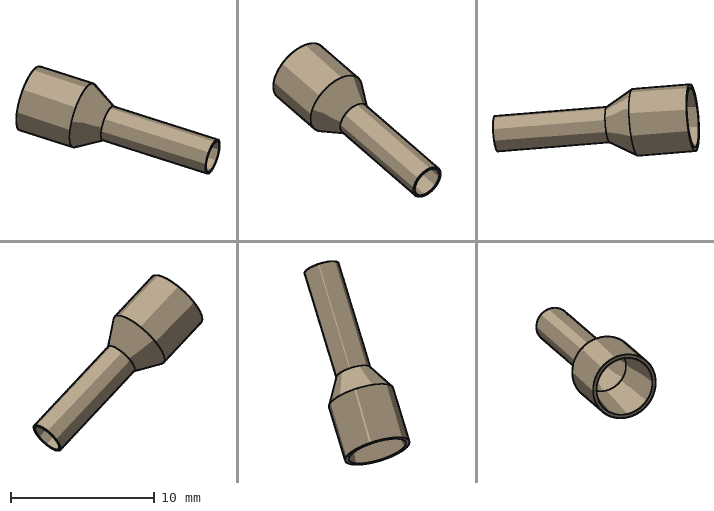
import cadquery as cq

total_length = 14.0
collar_length = 4.09
shoulder_end = 6.0

collar_radius = 4.7 / 2
mouth_radius = 4.17 / 2
throat_radius = 3.36 / 2
tube_radius = 2.5 / 2
tube_wall = 0.15

tube_bore_radius = tube_radius - tube_wall
flare_radius = throat_radius + tube_wall


def revolve_profile(points):
    """Revolve a closed (x, radius) outline around the X axis."""
    return cq.Workplane("XY").polyline(points).close().revolve(360, (0, 0, 0), (1, 0, 0))


def make_collar():
    """Plastic collar with a tapered entry and a conical seat for the flare."""
    return revolve_profile([
        (0, mouth_radius),
        (0, collar_radius),
        (collar_length, collar_radius),
        (shoulder_end, tube_radius),
        (collar_length, flare_radius),
        (collar_length, throat_radius),
    ])


def make_ferrule():
    """Metal tube with a flared end seated inside the collar's shoulder."""
    return revolve_profile([
        (collar_length, throat_radius),
        (collar_length, flare_radius),
        (shoulder_end, tube_radius),
        (total_length, tube_radius),
        (total_length, tube_bore_radius),
        (shoulder_end, tube_bore_radius),
    ])


collar = make_collar()
ferrule = make_ferrule()

result = cq.Compound.makeCompound([collar.val(), ferrule.val()])